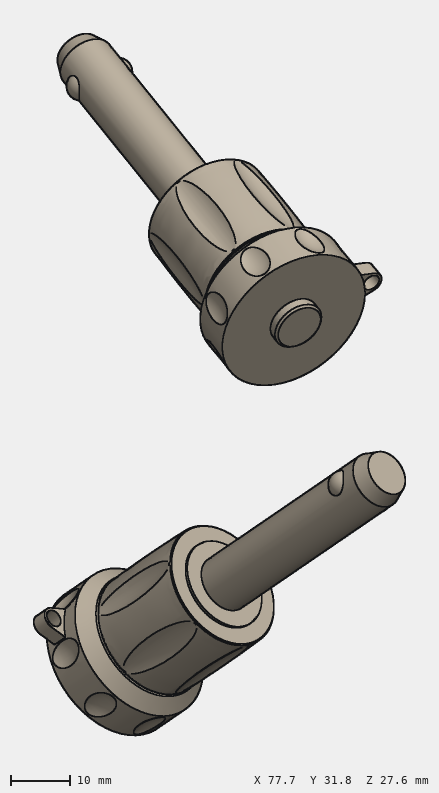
import cadquery as cq
import math

TIP_CONE_END = 2.9
BALL_X = 7.55
COLLAR_START = 44.5
SLEEVE_START = 45.0
SLEEVE_END = 65.1
KNOB_START = 65.3
KNOB_RIM_START = 67.9
KNOB_END = 75.7
BUTTON_END = 77.7

TIP_RADIUS = 4.0
SHANK_RADIUS = 5.0
COLLAR_RADIUS = 8.0
SLEEVE_END_RADIUS = 11.2
SLEEVE_MID_RADIUS = 11.35
SLEEVE_CHAMFER = 0.2
NECK_RADIUS = 10.8
KNOB_CONE_RADIUS = 11.35
KNOB_RADIUS = 13.8
BUTTON_RADIUS = 4.5
BUTTON_CHAMFER = 0.4

BALL_RADIUS = 2.5
BALL_TIP_RADIUS = 6.05

FLUTE_COUNT = 6
FLUTE_FIRST_ANGLE = 0.0
FLUTE_LENGTH = 19.2
FLUTE_FLOOR_RADIUS = 10.45
FLUTE_CROSS_RADIUS = 6.0
FLUTE_END_RISE = 0.75

DIMPLE_COUNT = 8
DIMPLE_FIRST_ANGLE = 180.0 / DIMPLE_COUNT
DIMPLE_LENGTH = 6.8
DIMPLE_DEPTH = 0.8
DIMPLE_CROSS_RADIUS = 4.8

TAB_START = 70.9
TAB_THICKNESS = 3.0
TAB_EYE_Y = 16.0
TAB_EYE_RADIUS = 2.0
TAB_HOLE_RADIUS = 1.5
TAB_HALF_ANGLE = math.radians(16.5)
TAB_ROOT_Y = 12.5


def make_turned_body():
    """Shank, collar, barrel-shaped sleeve, knob and button as one revolved profile."""
    sleeve_mid = (SLEEVE_START + SLEEVE_END) / 2
    barrel_start = SLEEVE_START + SLEEVE_CHAMFER
    barrel_end = SLEEVE_END - SLEEVE_CHAMFER
    sleeve_face_radius = SLEEVE_END_RADIUS - SLEEVE_CHAMFER
    return (
        cq.Workplane("XY")
        .moveTo(0, 0)
        .lineTo(0, TIP_RADIUS)
        .lineTo(TIP_CONE_END, SHANK_RADIUS)
        .lineTo(COLLAR_START, SHANK_RADIUS)
        .lineTo(COLLAR_START, COLLAR_RADIUS)
        .lineTo(SLEEVE_START, COLLAR_RADIUS)
        .lineTo(SLEEVE_START, sleeve_face_radius)
        .lineTo(barrel_start, SLEEVE_END_RADIUS)
        .threePointArc((sleeve_mid, SLEEVE_MID_RADIUS), (barrel_end, SLEEVE_END_RADIUS))
        .lineTo(SLEEVE_END, sleeve_face_radius)
        .lineTo(SLEEVE_END, NECK_RADIUS)
        .lineTo(KNOB_START, NECK_RADIUS)
        .lineTo(KNOB_START, KNOB_CONE_RADIUS)
        .lineTo(KNOB_RIM_START, KNOB_RADIUS)
        .lineTo(KNOB_END, KNOB_RADIUS)
        .lineTo(KNOB_END, BUTTON_RADIUS)
        .lineTo(BUTTON_END - BUTTON_CHAMFER, BUTTON_RADIUS)
        .lineTo(BUTTON_END, BUTTON_RADIUS - BUTTON_CHAMFER)
        .lineTo(BUTTON_END, 0)
        .close()
        .revolve(360, (0, 0, 0), (1, 0, 0))
    )


def add_balls(body):
    ball_center = BALL_TIP_RADIUS - BALL_RADIUS
    for side in (-1, 1):
        ball = cq.Workplane("XY").sphere(BALL_RADIUS).translate((BALL_X, side * ball_center, 0))
        body = body.union(ball)
    return body


def cut_around_axis(body, cutter, count, first_angle):
    """Cut copies of a cutter, spaced evenly about the X axis."""
    for index in range(count):
        angle = first_angle + index * 360 / count
        body = body.cut(cutter.rotate((0, 0, 0), (1, 0, 0), angle))
    return body


def make_spindle(middle, length, floor_radius, end_radius, cross_radius):
    """Barrel lying along X whose nearest point to the X axis is at the floor radius."""
    start = middle - length / 2
    end = middle + length / 2
    spindle_axis = floor_radius + cross_radius
    return (
        cq.Workplane("XY")
        .moveTo(start, spindle_axis)
        .lineTo(start, end_radius)
        .threePointArc((middle, floor_radius), (end, end_radius))
        .lineTo(end, spindle_axis)
        .close()
        .revolve(360, (start, spindle_axis, 0), (end, spindle_axis, 0))
    )


def cut_flutes(body):
    middle = (SLEEVE_START + SLEEVE_END) / 2
    end_radius = FLUTE_FLOOR_RADIUS + FLUTE_END_RISE
    spindle = make_spindle(middle, FLUTE_LENGTH, FLUTE_FLOOR_RADIUS, end_radius, FLUTE_CROSS_RADIUS)
    return cut_around_axis(body, spindle, FLUTE_COUNT, FLUTE_FIRST_ANGLE)


def cut_dimples(body):
    middle = (KNOB_RIM_START + KNOB_END) / 2
    floor_radius = KNOB_RADIUS - DIMPLE_DEPTH
    spindle = make_spindle(middle, DIMPLE_LENGTH, floor_radius, KNOB_RADIUS, DIMPLE_CROSS_RADIUS)
    return cut_around_axis(body, spindle, DIMPLE_COUNT, DIMPLE_FIRST_ANGLE)


def add_lanyard_tab(body):
    """Tab with a round eye and straight sides that widen towards the knob."""
    tangent_y = TAB_EYE_Y + TAB_EYE_RADIUS * math.sin(TAB_HALF_ANGLE)
    tangent_z = TAB_EYE_RADIUS * math.cos(TAB_HALF_ANGLE)
    root_z = tangent_z + (tangent_y - TAB_ROOT_Y) * math.tan(TAB_HALF_ANGLE)
    tab_plane = cq.Workplane("YZ", origin=(TAB_START, 0, 0))
    tab = (
        tab_plane.moveTo(TAB_ROOT_Y, -root_z)
        .lineTo(tangent_y, -tangent_z)
        .threePointArc((TAB_EYE_Y + TAB_EYE_RADIUS, 0), (tangent_y, tangent_z))
        .lineTo(TAB_ROOT_Y, root_z)
        .close()
        .extrude(TAB_THICKNESS)
    )
    hole = tab_plane.center(TAB_EYE_Y, 0).circle(TAB_HOLE_RADIUS).extrude(TAB_THICKNESS)
    return body.union(tab.cut(hole))


result = make_turned_body()
result = add_balls(result)
result = cut_flutes(result)
result = cut_dimples(result)
result = add_lanyard_tab(result)